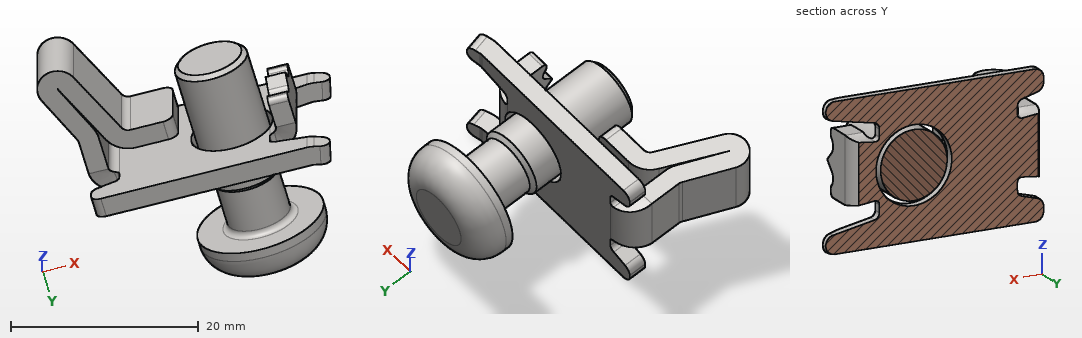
import cadquery as cq
import math


SHEET = 2.2
BEND_IN = 0.95
BEND_OUT = BEND_IN + SHEET
STRIP_HALF = 3.93

PLATE_LEFT = -15.6
PLATE_HALF = 8.6
EAR_RADIUS = 1.09
NOTCH_RADIUS = 0.73
LEFT_EAR_EDGE = 6.15
LEFT_NOTCH_EDGE = 5.28
RIGHT_NOTCH_EDGE = 5.3
RIGHT_EAR_EDGE = 6.57
HOLE_RADIUS = 4.52

TIP_START = 8.27
TIP_END = 10.7
TIP_ANGLE = 13
TIP_BEND_IN = 1.17

LEFT_BEND_X = PLATE_LEFT + BEND_OUT
WALL_END_Y = -4.78
FOLD_Y = -13.73 + SHEET
LEG_OUT_ANGLE = 23.5
LEG_BACK_ANGLE = 24.8
TAB_END_X = -5.22
TAB_RADIUS = 1.09

RIGHT_FLAP_X = 7.3
RIGHT_BEND_X = RIGHT_FLAP_X - BEND_OUT
FLAP_END_Y = -4.25
FLAP_CORNER = 0.62
RIDGE_HALF = 1.03
SCALLOP_RADIUS = 1.1
SHOULDER_RADIUS = 0.75

RELIEF_DEPTH = 0.62
RELIEF_RADIUS = 0.45
RELIEF_MARGIN = 0.3
RELIEF_SECTIONS = 7

HEAD_TOP_Y = 15.6
HEAD_BOTTOM_Y = 11.23
HEAD_RADIUS = 7.0
HEAD_ROUND = 3.4
NECK_RADIUS = 3.5
NECK_FILLET = 0.67
SHANK_RADIUS = 4.02
SHANK_TOP_Y = 5.22
SHANK_END_Y = -8.83
SHANK_CHAMFER = 0.5


def polar(centre, radius, angle):
    """Point at an angle, in degrees, on a circle."""
    turn = math.radians(angle)
    return (centre[0] + radius * math.cos(turn), centre[1] + radius * math.sin(turn))


def arc(path, centre, radius, start, end):
    """Continue a path that stands at an arc's start along that arc."""
    middle = (start + end) / 2
    return path.threePointArc(polar(centre, radius, middle), polar(centre, radius, end))


def line_and_arc(path, centre, radius, start, end):
    """Continue a path with a straight line to an arc's start and then the arc."""
    return arc(path.lineTo(*polar(centre, radius, start)), centre, radius, start, end)


def make_plate():
    """Flat plate with four ears, the right two raised at their tips."""
    tip_centre = (TIP_START, SHEET + TIP_BEND_IN)
    tip_bend_out = TIP_BEND_IN + SHEET
    down = -90
    tilted = down + TIP_ANGLE
    bend_end = polar(tip_centre, tip_bend_out, tilted)
    tip_rise = (TIP_END - bend_end[0]) * math.tan(math.radians(TIP_ANGLE))
    tip_front = (TIP_END, bend_end[1] + tip_rise)
    tip_back = polar(tip_front, SHEET, 180 + tilted)

    side = cq.Workplane("XY").moveTo(PLATE_LEFT, 0).lineTo(TIP_START, 0)
    side = arc(side, tip_centre, tip_bend_out, down, tilted)
    side = side.lineTo(*tip_front).lineTo(*tip_back)
    side = line_and_arc(side, tip_centre, TIP_BEND_IN, tilted, down)
    side = side.lineTo(PLATE_LEFT, SHEET).close()
    sheet = side.extrude(PLATE_HALF, both=True)

    upper = [
        (TIP_END, RIGHT_EAR_EDGE),
        (TIP_END, PLATE_HALF),
        (PLATE_LEFT, PLATE_HALF),
        (PLATE_LEFT, LEFT_EAR_EDGE),
        (LEFT_BEND_X, LEFT_NOTCH_EDGE),
    ]
    lower = [(x, -z) for x, z in reversed(upper)]
    notch = [(RIGHT_BEND_X, -RIGHT_NOTCH_EDGE), (RIGHT_BEND_X, RIGHT_NOTCH_EDGE)]
    outline = (
        cq.Workplane("XZ").polyline(upper + lower + notch).close()
        .extrude(2 * BEND_OUT, both=True)
    )
    notch_corners = cq.selectors.BoxSelector(
        (LEFT_BEND_X - SHEET, -SHEET, -LEFT_EAR_EDGE),
        (RIGHT_BEND_X + SHEET, SHEET, LEFT_EAR_EDGE),
    )
    outline = outline.edges("|Y").edges(notch_corners).fillet(NOTCH_RADIUS)
    outline = outline.faces("<X").edges("|Y").fillet(EAR_RADIUS)
    plate = sheet.intersect(outline)
    return plate.faces(">X").edges("not |Z").fillet(EAR_RADIUS)


def make_relief_cutter(bend_centre):
    """Wedge along the top side of a bend, deepest at the plate and fading out at the wall."""
    inner = BEND_IN - RELIEF_MARGIN
    outer = BEND_OUT + RELIEF_MARGIN
    top = STRIP_HALF + RELIEF_MARGIN
    sections = []
    for i in range(RELIEF_SECTIONS):
        turn = 90 * i / (RELIEF_SECTIONS - 1)
        bottom = STRIP_HALF - RELIEF_DEPTH * math.cos(math.radians(turn))
        near = polar(bend_centre, inner, 90 + turn)
        far = polar(bend_centre, outer, 90 + turn)
        corners = [(*near, bottom), (*far, bottom), (*far, top), (*near, top)]
        sections.append(cq.Wire.makePolygon([cq.Vector(*p) for p in corners], close=True))
    cutter = cq.Workplane(cq.Solid.makeLoft(sections))
    return cutter.faces(">X").edges("<Z").fillet(RELIEF_RADIUS)


def make_bend():
    """Quarter bend from the plate to a flap, at the left end of the plate."""
    centre = (LEFT_BEND_X, -BEND_IN)
    path = cq.Workplane("XY").moveTo(LEFT_BEND_X, 0)
    path = arc(path, centre, BEND_IN, 90, 180)
    path = line_and_arc(path, centre, BEND_OUT, 180, 90)
    bend = path.close().extrude(STRIP_HALF, both=True)
    cutter = make_relief_cutter(centre)
    return bend.cut(cutter).cut(cutter.mirror("XY"))


def make_left_flap():
    """Strip that runs down from its bend, folds back on itself and ends in a flat tab."""
    leg_bend = (PLATE_LEFT - BEND_IN, WALL_END_Y)
    leg_start = polar(leg_bend, BEND_OUT, -LEG_OUT_ANGLE)
    fold_run = (leg_start[1] - FOLD_Y) * math.tan(math.radians(LEG_OUT_ANGLE))
    fold = (leg_start[0] - fold_run, FOLD_Y)

    tab_turn = 180 - LEG_BACK_ANGLE
    tab_bend_y = WALL_END_Y - BEND_IN
    leg_end = polar((0, tab_bend_y), BEND_OUT, tab_turn)
    back_run = (leg_end[1] - FOLD_Y) * math.tan(math.radians(LEG_BACK_ANGLE))
    tab_bend = (fold[0] + back_run - leg_end[0], tab_bend_y)

    path = cq.Workplane("XY").moveTo(PLATE_LEFT + SHEET, -BEND_IN)
    path = line_and_arc(path, leg_bend, BEND_OUT, 0, -LEG_OUT_ANGLE)
    path = path.lineTo(*fold)
    path = line_and_arc(path, tab_bend, BEND_OUT, tab_turn, 90)
    path = path.lineTo(TAB_END_X, WALL_END_Y + SHEET).lineTo(TAB_END_X, WALL_END_Y)
    path = line_and_arc(path, tab_bend, BEND_IN, 90, tab_turn)
    path = line_and_arc(path, fold, SHEET, -LEG_BACK_ANGLE, -180 - LEG_OUT_ANGLE)
    path = line_and_arc(path, leg_bend, BEND_IN, -LEG_OUT_ANGLE, 0)
    flap = path.lineTo(PLATE_LEFT, -BEND_IN).close().extrude(STRIP_HALF, both=True)
    return flap.edges("|Y").edges(">X").fillet(TAB_RADIUS)


def make_right_flap():
    """Short wall whose end has a pointed ridge between two scallops."""
    spacing = SCALLOP_RADIUS + SHOULDER_RADIUS
    slope = math.sqrt(0.5)
    scallop_z = RIDGE_HALF + SCALLOP_RADIUS * slope
    shoulder = (FLAP_END_Y + SHOULDER_RADIUS, scallop_z + spacing * slope)
    scallop = (shoulder[0] - spacing * slope, scallop_z)
    ridge_y = scallop[0] + SCALLOP_RADIUS * slope - RIDGE_HALF
    corner = (FLAP_END_Y + FLAP_CORNER, STRIP_HALF - FLAP_CORNER)

    path = (
        cq.Workplane("YZ", origin=(RIGHT_FLAP_X - SHEET, 0, 0))
        .moveTo(-BEND_IN, 0).lineTo(-BEND_IN, STRIP_HALF)
    )
    path = line_and_arc(path, corner, FLAP_CORNER, 90, 180)
    path = line_and_arc(path, shoulder, SHOULDER_RADIUS, 180, 225)
    path = arc(path, scallop, SCALLOP_RADIUS, 45, -45)
    upper_half = path.lineTo(ridge_y, 0).close().extrude(SHEET)
    return upper_half.union(upper_half.mirror("XY"))


def make_clip():
    """Sheet metal clip: plate, bends and flaps, with a clearance hole for the pin."""
    left_bend = make_bend()
    right_bend = left_bend.mirror("YZ").translate((LEFT_BEND_X + RIGHT_BEND_X, 0, 0))
    clip = make_plate().union(left_bend).union(right_bend)
    clip = clip.union(make_left_flap()).union(make_right_flap())
    hole = cq.Workplane("XZ").circle(HOLE_RADIUS).extrude(BEND_OUT, both=True)
    return clip.cut(hole)


def make_pin():
    """Turned pin with a domed head, a slimmer neck and a chamfered shank."""
    flat_radius = HEAD_RADIUS - HEAD_ROUND
    dome = (flat_radius, HEAD_TOP_Y - HEAD_ROUND)
    neck_fillet = (NECK_RADIUS + NECK_FILLET, HEAD_BOTTOM_Y - NECK_FILLET)

    path = (
        cq.Workplane("XY")
        .moveTo(0, SHANK_END_Y)
        .lineTo(SHANK_RADIUS - SHANK_CHAMFER, SHANK_END_Y)
        .lineTo(SHANK_RADIUS, SHANK_END_Y + SHANK_CHAMFER)
        .lineTo(SHANK_RADIUS, SHANK_TOP_Y)
        .lineTo(NECK_RADIUS, SHANK_TOP_Y + SHANK_CHAMFER)
    )
    path = line_and_arc(path, neck_fillet, NECK_FILLET, 180, 90)
    path = path.lineTo(HEAD_RADIUS, HEAD_BOTTOM_Y)
    path = line_and_arc(path, dome, HEAD_ROUND, 0, 90)
    return path.lineTo(0, HEAD_TOP_Y).close().revolve(360, (0, 0, 0), (0, 1, 0))


clip = make_clip()
pin = make_pin()
result = cq.Compound.makeCompound([clip.val(), pin.val()])